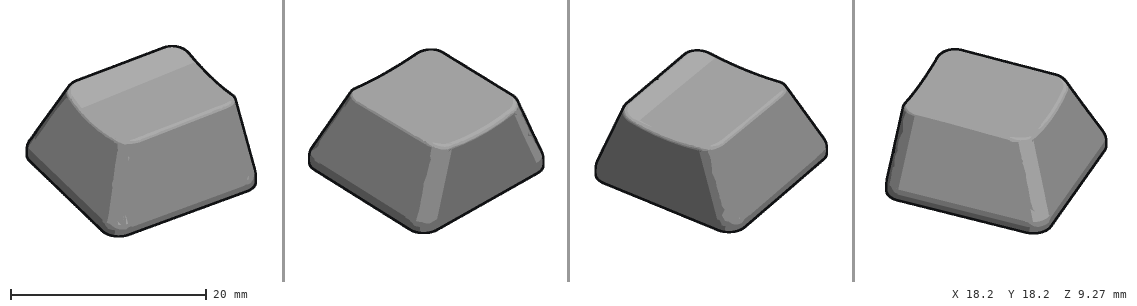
import cadquery as cq
import math

base_size = 18.16
corner_radius = 1.95
skirt_height = 0.74

blend_height = 0.57
side_draft = math.radians(20.3)
rear_draft = math.radians(4.8)
front_draft = math.radians(21.9)
undished_height = 10.0

dish_radius = 24.0
dish_tilt_degrees = 1.1
dish_floor_height = 8.48
top_edge_radius = 0.5


def wall_inset(draft, height):
    """Distance of a wall inside the skirt: a parabola over the blend, then a straight slope."""
    rise = height - skirt_height
    if rise < blend_height:
        return math.tan(draft) * rise**2 / (2 * blend_height)
    return math.tan(draft) * (rise - blend_height / 2)


def outline(height):
    """Horizontal section of the undished cap."""
    side = wall_inset(side_draft, height)
    front = wall_inset(front_draft, height)
    rear = wall_inset(rear_draft, height)
    width = base_size - 2 * side
    depth = base_size - front - rear
    center = cq.Vector(0, (front - rear) / 2, height)
    section = cq.Sketch().rect(width, depth).vertices().fillet(corner_radius)
    return section.moved(cq.Location(center))


def make_skirt():
    """Straight band reaching from its upper outline down to the base plane."""
    return cq.Workplane("XY").placeSketch(outline(skirt_height)).extrude(-skirt_height)


def make_blend():
    """Curved transition from the vertical skirt to the leaning walls."""
    bottom = outline(skirt_height)
    middle = outline(skirt_height + blend_height / 2)
    top = outline(skirt_height + blend_height)
    return cq.Workplane("XY").placeSketch(bottom, middle, top).loft()


def make_walls():
    """Straight tapered part, taller than the finished cap."""
    bottom = outline(skirt_height + blend_height)
    top = outline(undished_height)
    return cq.Workplane("XY").placeSketch(bottom, top).loft(ruled=True)


def make_dish_cutter():
    """Tilted cylinder that passes over the whole top, front to back."""
    axis_height = dish_floor_height + dish_radius
    cylinder = cq.Workplane("XZ").circle(dish_radius).extrude(base_size, both=True)
    tilted = cylinder.rotate((0, 0, 0), (1, 0, 0), dish_tilt_degrees)
    return tilted.translate((0, 0, axis_height))


blank = make_skirt().union(make_blend()).union(make_walls())
dished = blank.cut(make_dish_cutter())

result = dished.faces(">Z").edges().fillet(top_edge_radius)